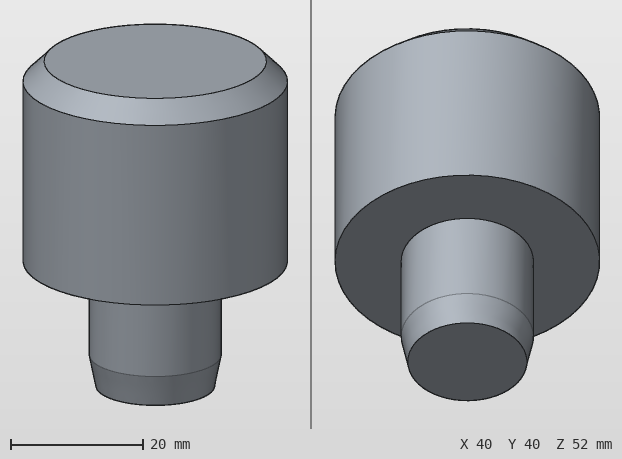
import cadquery as cq

head_diameter = 40.0
head_height = 32.0
head_chamfer = 3.2

pin_diameter = 20.0
pin_length = 20.0
taper_length = 5.0
pin_end_diameter = 18.0

head_radius = head_diameter / 2
pin_radius = pin_diameter / 2
pin_end_radius = pin_end_diameter / 2


def make_profile():
    """Half section in the XZ plane, with the underside of the head at Z = 0."""
    return (
        cq.Workplane("XZ")
        .moveTo(0, -pin_length)
        .lineTo(pin_end_radius, -pin_length)
        .lineTo(pin_radius, taper_length - pin_length)
        .lineTo(pin_radius, 0)
        .lineTo(head_radius, 0)
        .lineTo(head_radius, head_height - head_chamfer)
        .lineTo(head_radius - head_chamfer, head_height)
        .lineTo(0, head_height)
        .close()
    )


result = make_profile().revolve(360, (0, 0, 0), (0, 1, 0))